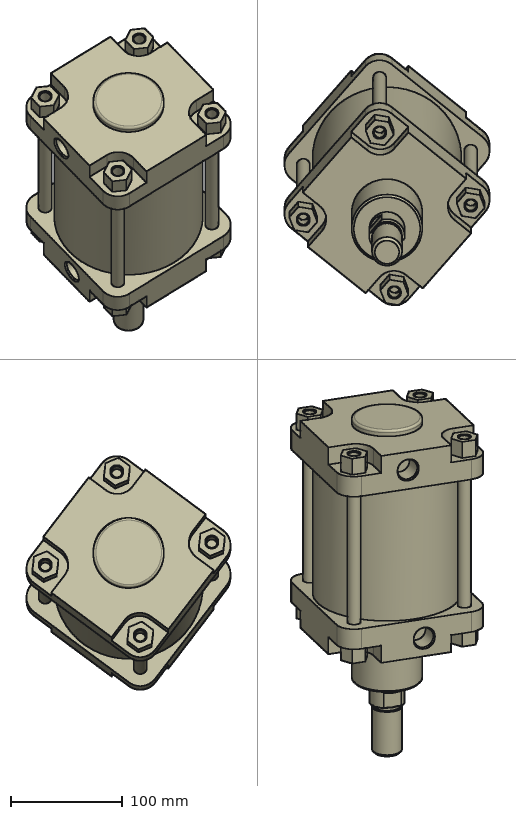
import cadquery as cq
import math

overall_length = 324.0

cap_side = 140.0
cap_height = 36.0
cap_corner_radius = 17.0
flange_thickness = 19.5
nut_recess_side = 36.3
nut_recess_radius = 17.0

boss_diameter = 63.2
front_boss_chamfer = 2.0
rear_boss_rounding = 2.3
rear_boss_height = 6.0
front_boss_length = 48.0

port_diameter = 18.8
port_mouth_diameter = 20.7
port_mouth_depth = 1.5
port_depth = 20.0
port_offset = 7.8
port_height_in_cap = 18.5

barrel_diameter = 133.2
barrel_length = 128.0

tie_rod_diameter = 12.0
tie_rod_offset = 53.0
nut_across_flats = 22.0
nut_height = 15.5
socket_diameter = 10.0
socket_mouth_diameter = 12.0
socket_mouth_depth = 1.0
socket_depth = 15.5

rod_diameter = 31.8
rod_across_flats = 27.0
rod_flats_length = 14.5
thread_diameter = 27.0
thread_length = 44.0
tip_chamfer = 2.5
undercut_diameter = 25.0
undercut_length = 4.5
undercut_bevel = 1.0

rear_cap_outer = overall_length - rear_boss_height
rear_cap_inner = rear_cap_outer - cap_height
front_cap_inner = rear_cap_inner - barrel_length
front_cap_outer = front_cap_inner - cap_height
front_boss_face = front_cap_outer - front_boss_length

nut_across_corners = nut_across_flats / math.cos(math.radians(30))
tie_rod_places = [(sx * tie_rod_offset, sy * tie_rod_offset) for sx in (-1, 1) for sy in (-1, 1)]


def blind_hole(diameter, depth, mouth_diameter, mouth_depth):
    """Cutter for a blind hole with a tapered mouth, entering a face at Z = 0 and going up."""
    drill = cq.Workplane("XY").circle(diameter / 2).extrude(depth)
    mouth = cq.Solid.makeCone(mouth_diameter / 2, diameter / 2, mouth_depth)
    return drill.union(cq.Workplane(mouth))


def make_boss(height):
    """Plain round boss standing on the outer face of a cap."""
    return cq.Workplane("XY", origin=(0, 0, cap_height)).circle(boss_diameter / 2).extrude(height)


def make_cap(boss, port_x):
    """End cap with its inner face at Z = 0 and its boss pointing up."""
    block = (
        cq.Workplane("XY")
        .rect(cap_side, cap_side)
        .extrude(cap_height)
        .edges("|Z")
        .fillet(cap_corner_radius)
    )

    recesses = (
        cq.Workplane("XY", origin=(0, 0, flange_thickness))
        .rect(cap_side, cap_side, forConstruction=True)
        .vertices()
        .rect(2 * nut_recess_side, 2 * nut_recess_side)
        .extrude(cap_height - flange_thickness)
        .edges("|Z")
        .fillet(nut_recess_radius)
    )

    rod_holes = (
        cq.Workplane("XY")
        .pushPoints(tie_rod_places)
        .circle(tie_rod_diameter / 2)
        .extrude(flange_thickness)
    )

    port = (
        blind_hole(port_diameter, port_depth, port_mouth_diameter, port_mouth_depth)
        .rotate((0, 0, 0), (1, 0, 0), -90)
        .translate((port_x, -cap_side / 2, port_height_in_cap))
    )

    return block.cut(recesses).union(boss).cut(rod_holes).cut(port)


def make_rear_cap():
    boss = make_boss(rear_boss_height).faces(">Z").edges().fillet(rear_boss_rounding)
    return make_cap(boss, -port_offset).translate((0, 0, rear_cap_inner))


def make_front_cap():
    """Mirrored cap, with its boss pointing down."""
    boss = make_boss(front_boss_length).faces(">Z").chamfer(front_boss_chamfer)
    cap = make_cap(boss, port_offset).mirror("XY")
    return cap.translate((0, 0, front_cap_inner))


def make_barrel():
    return (
        cq.Workplane("XY", origin=(0, 0, front_cap_inner))
        .circle(barrel_diameter / 2)
        .extrude(barrel_length)
    )


def make_tie_rod(x, y):
    """Tie rod from one nut to the other, with a socket in each end."""
    bottom = front_cap_inner - flange_thickness - nut_height
    top = rear_cap_inner + flange_thickness + nut_height
    socket = blind_hole(socket_diameter, socket_depth, socket_mouth_diameter, socket_mouth_depth)

    rod = cq.Workplane("XY", origin=(0, 0, bottom)).circle(tie_rod_diameter / 2).extrude(top - bottom)
    for nut_bottom in (bottom, top - nut_height):
        nut = (
            cq.Workplane("XY", origin=(0, 0, nut_bottom))
            .polygon(6, nut_across_corners)
            .extrude(nut_height)
        )
        rod = rod.union(nut)
    rod = rod.cut(socket.translate((0, 0, bottom)))
    rod = rod.cut(socket.mirror("XY").translate((0, 0, top)))
    return rod.translate((x, y, 0))


def make_piston_rod():
    """Exposed rod: threaded end, bevelled undercut, wrench flats and full-diameter collar."""
    flats_start = thread_length + undercut_length
    thread_radius = thread_diameter / 2
    undercut_radius = undercut_diameter / 2
    threaded_end = (
        cq.Workplane("XZ")
        .lineTo(thread_radius - tip_chamfer, 0)
        .lineTo(thread_radius, tip_chamfer)
        .lineTo(thread_radius, thread_length)
        .lineTo(undercut_radius, thread_length + undercut_bevel)
        .lineTo(undercut_radius, flats_start - undercut_bevel)
        .lineTo(thread_radius, flats_start)
        .lineTo(0, flats_start)
        .close()
        .revolve(360, (0, 0), (0, 1))
    )
    shank = (
        cq.Workplane("XY", origin=(0, 0, flats_start))
        .circle(rod_diameter / 2)
        .extrude(front_boss_face - flats_start)
    )
    flats = (
        cq.Workplane("XY", origin=(0, 0, flats_start))
        .rect(2 * rod_diameter, 2 * rod_diameter)
        .rect(2 * rod_diameter, rod_across_flats)
        .extrude(rod_flats_length)
    )
    return threaded_end.union(shank.cut(flats))


rear_cap = make_rear_cap()
front_cap = make_front_cap()
barrel = make_barrel()
piston_rod = make_piston_rod()
tie_rods = [make_tie_rod(x, y) for x, y in tie_rod_places]

result = cq.Compound.makeCompound(
    [
        rear_cap.val(),
        front_cap.val(),
        barrel.val(),
        piston_rod.val(),
        *[tie_rod.val() for tie_rod in tie_rods],
    ]
)